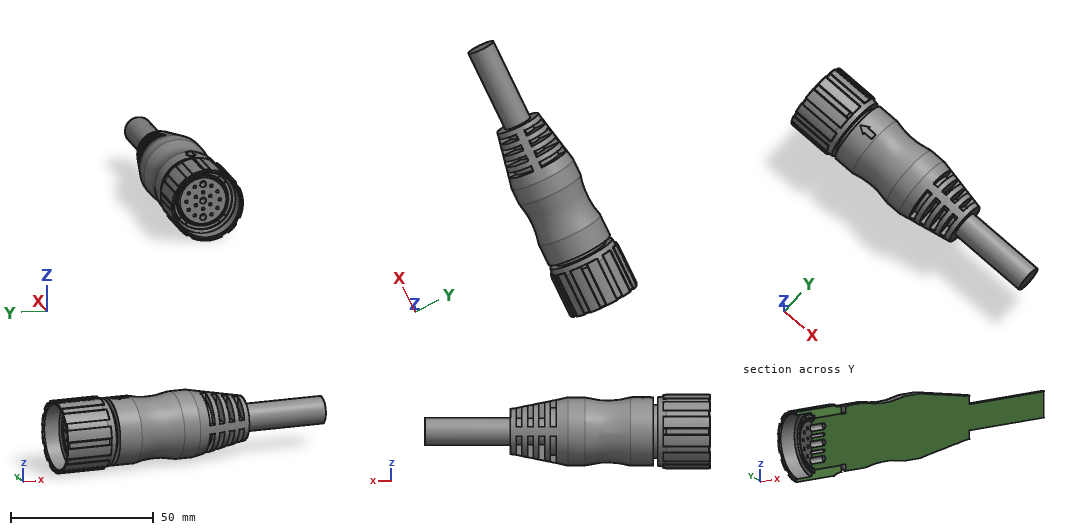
import cadquery as cq
import math

total_length = 100.0

nut_length = 18.4
nut_rear_radius = 12.05
nut_front_chamfer = 0.4
taper_start = 15.4
groove_count = 12
groove_width = 2.5
groove_radius = 12.5
rib_count = 4
rib_top_radius = 13.0
rib_width = 2.1
land_radius = 12.87
land_end = 16.4
taper_slope = (groove_radius - nut_rear_radius) / (nut_length - taper_start)
taper_radius_at_land_end = groove_radius - taper_slope * (land_end - taper_start)
bore_radius = 11.7
bore_depth = 6.0
mouth_chamfer = 0.5
bore_step_radius = 11.2
bore_step_depth = 6.3
inner_bore_radius = 10.6
inner_bore_depth = 6.6
shoulder_depth = 7.4
lug_count = 4
lug_width = 3.0
lug_height = 0.4

neck_radius = 9.4
insert_front = 7.2
nose_radius = 8.85
nose_chamfer = 0.5
nose_length = 0.9
key_radius = 0.85
key_length = shoulder_depth - insert_front

hole_depth = 5.0
power_hole_radius = 1.1
signal_hole_radius = 0.5
drill_point_angle = 118.0
outer_circle_radius = 6.0
inner_circle_radius = 3.0
outer_hole_count = 12
inner_hole_count = 6

grip_front = 19.9
grip_radius = 12.0
waist_front = 28.0
waist_rear = 44.0
waist_radius = 11.0
waist_flat_length = 4.0
cone_front = 50.0
cone_rear = 70.0
cone_end_radius = 8.0

slot_front = 54.0
slot_pitch = 4.0
slot_count = 4
slot_width = 2.0
slot_web = 3.2
first_slot_floor_radius = 8.5

cable_radius = 4.9

arrow_tip = 20.9
arrow_head_rear = 23.8
arrow_rear = 27.3
arrow_half_width = 1.75
arrow_shaft_half_width = 1.1
arrow_height = 0.2


def cylinder(start, end, radius):
    """Solid cylinder along the connector axis."""
    return cq.Workplane("YZ", origin=(start, 0, 0)).circle(radius).extrude(end - start)


def make_nut_blank():
    """Plain revolved nut with a stepped bore and a tapered rear end."""
    return (
        cq.Workplane("XY")
        .moveTo(0, bore_radius + mouth_chamfer)
        .lineTo(0, land_radius)
        .lineTo(land_end, land_radius)
        .lineTo(land_end, taper_radius_at_land_end)
        .lineTo(nut_length, nut_rear_radius)
        .lineTo(nut_length, neck_radius)
        .lineTo(shoulder_depth, neck_radius)
        .lineTo(shoulder_depth, inner_bore_radius)
        .lineTo(inner_bore_depth, inner_bore_radius)
        .lineTo(bore_step_depth, bore_step_radius)
        .lineTo(bore_depth, bore_radius)
        .lineTo(mouth_chamfer, bore_radius)
        .close()
        .revolve(360, (0, 0, 0), (1, 0, 0))
    )


def make_groove_cutters():
    """Cutters for the grooves between lands; the floor has a front bevel and runs into the rear taper."""
    outside = (
        cq.Workplane("XY")
        .moveTo(0, groove_radius - nut_front_chamfer)
        .lineTo(nut_front_chamfer, groove_radius)
        .lineTo(taper_start, groove_radius)
        .lineTo(land_end, taper_radius_at_land_end)
        .lineTo(land_end, rib_top_radius)
        .lineTo(0, rib_top_radius)
        .close()
        .revolve(360, (0, 0, 0), (1, 0, 0))
    )
    bar = cq.Workplane("XY").box(land_end, groove_width, rib_top_radius, centered=(False, True, False))
    cutters = []
    for index in range(groove_count):
        cutters.append(outside.intersect(bar.rotate((0, 0, 0), (1, 0, 0), index * 360 / groove_count)))
    return cutters


def make_rib():
    """One raised rib on top of the nut, bevelled at both ends."""
    root = groove_radius - nut_front_chamfer
    return (
        cq.Workplane("XZ")
        .moveTo(0, root)
        .lineTo(0, rib_top_radius - nut_front_chamfer)
        .lineTo(nut_front_chamfer, rib_top_radius)
        .lineTo(taper_start, rib_top_radius)
        .lineTo(land_end, groove_radius)
        .lineTo(land_end, root)
        .close()
        .extrude(rib_width / 2, both=True)
    )


def make_lugs():
    """Shallow lugs standing on the bore shoulder, midway between the vertical and horizontal."""
    ring_start = shoulder_depth - lug_height
    ring = cylinder(ring_start, shoulder_depth, inner_bore_radius)
    ring = ring.cut(cylinder(ring_start, shoulder_depth, neck_radius))
    bar = cq.Workplane("XY").box(nut_length, lug_width, rib_top_radius, centered=(False, True, False))
    lugs = []
    for index in range(lug_count):
        angle = (index + 0.5) * 360 / lug_count
        lugs.append(ring.intersect(bar.rotate((0, 0, 0), (1, 0, 0), angle)))
    return lugs


def make_nut():
    """Coupling nut with lands between twelve grip grooves and ribs in four of the grooves."""
    nut = make_nut_blank()
    for cutter in make_groove_cutters():
        nut = nut.cut(cutter)
    for lug in make_lugs():
        nut = nut.union(lug)
    for index in range(rib_count):
        nut = nut.union(make_rib().rotate((0, 0, 0), (1, 0, 0), index * 360 / rib_count))
    return nut


def make_core():
    """Revolved insert, neck, waisted grip, tapered strain relief and cable."""
    nose_front = insert_front - nose_length
    waist_middle = (waist_front + waist_rear) / 2
    waist_flat_front = waist_middle - waist_flat_length / 2
    waist_flat_rear = waist_middle + waist_flat_length / 2
    waist_points = [
        (waist_flat_front, waist_radius),
        (waist_flat_rear, waist_radius),
        (waist_rear, grip_radius),
    ]
    return (
        cq.Workplane("XY")
        .moveTo(nose_front, 0)
        .lineTo(nose_front, nose_radius - nose_chamfer)
        .lineTo(nose_front + nose_chamfer, nose_radius)
        .lineTo(insert_front, nose_radius)
        .lineTo(insert_front, neck_radius)
        .lineTo(grip_front, neck_radius)
        .lineTo(grip_front, grip_radius)
        .lineTo(waist_front, grip_radius)
        .spline(waist_points, includeCurrent=True)
        .lineTo(cone_front, grip_radius)
        .lineTo(cone_rear, cone_end_radius)
        .lineTo(cone_rear, cable_radius)
        .lineTo(total_length, cable_radius)
        .lineTo(total_length, 0)
        .close()
        .revolve(360, (0, 0, 0), (1, 0, 0))
    )


def make_slots():
    """Ring slots of the strain relief, each interrupted by four webs."""
    webs = cq.Workplane("XY").box(2 * total_length, slot_web, 4 * grip_radius)
    webs = webs.union(webs.rotate((0, 0, 0), (1, 0, 0), 90))
    slots = []
    for index in range(slot_count):
        floor_radius = first_slot_floor_radius if index == 0 else cable_radius
        start = slot_front + index * slot_pitch
        end = start + slot_width
        ring = cylinder(start, end, grip_radius).cut(cylinder(start, end, floor_radius))
        slots.append(ring.cut(webs))
    return slots


def make_hole(y, z, radius):
    """Blind contact hole with a drill-point bottom."""
    front = insert_front - nose_length
    point = radius / math.tan(math.radians(drill_point_angle / 2))
    return (
        cq.Workplane("XY")
        .lineTo(0, radius)
        .lineTo(hole_depth, radius)
        .lineTo(hole_depth + point, 0)
        .close()
        .revolve(360, (0, 0, 0), (1, 0, 0))
        .translate((front, y, z))
    )


def make_contact_holes():
    """Three large holes on the vertical centre line and two circles of small ones."""
    holes = [make_hole(0, z, power_hole_radius) for z in (-outer_circle_radius, 0, outer_circle_radius)]
    circles = ((outer_circle_radius, outer_hole_count), (inner_circle_radius, inner_hole_count))
    for circle_radius, count in circles:
        for index in range(count):
            angle = 2 * math.pi * index / count
            y = circle_radius * math.sin(angle)
            z = circle_radius * math.cos(angle)
            taken_by_power_hole = circle_radius == outer_circle_radius and index % (count // 2) == 0
            if not taken_by_power_hole:
                holes.append(make_hole(y, z, signal_hole_radius))
    return holes


def make_key():
    """Round coding key on top of the insert."""
    return cq.Workplane("YZ", origin=(insert_front, 0, neck_radius)).circle(key_radius).extrude(key_length)


def make_arrow():
    """Raised arrow on top of the grip, pointing at the mating end."""
    outline = (
        cq.Workplane("XY")
        .moveTo(arrow_tip, 0)
        .lineTo(arrow_head_rear, arrow_half_width)
        .lineTo(arrow_head_rear, arrow_shaft_half_width)
        .lineTo(arrow_rear, arrow_shaft_half_width)
        .lineTo(arrow_rear, -arrow_shaft_half_width)
        .lineTo(arrow_head_rear, -arrow_shaft_half_width)
        .lineTo(arrow_head_rear, -arrow_half_width)
        .close()
        .extrude(2 * grip_radius)
    )
    shell = cylinder(grip_front, waist_front, grip_radius + arrow_height)
    return outline.intersect(shell).cut(cylinder(grip_front, waist_front, neck_radius))


def make_plug():
    """Insert, grip and cable as one moulded body."""
    plug = make_core()
    for slot in make_slots():
        plug = plug.cut(slot)
    for hole in make_contact_holes():
        plug = plug.cut(hole)
    return plug.union(make_arrow()).union(make_key())


plug = make_plug()
nut = make_nut().cut(plug)
result = cq.Compound.makeCompound([nut.val(), plug.val()])